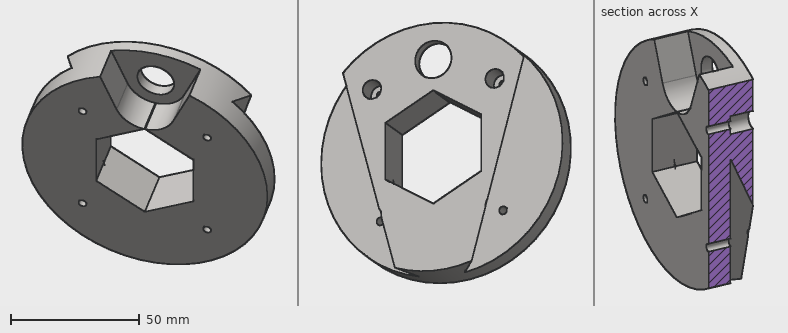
import cadquery as cq
import math

disc_radius = 50.0
thickness = 20.0
plate_thickness = 10.0

taper_angle = math.radians(15)
undercut_angle = math.radians(30)
dovetail_back_half_width = 28.6
tool_reach = 2 * disc_radius

hexagon_across_flats = 39.6

pocket_depth = 15.0
pocket_radius = 12.5
pocket_center_z = 35.3
pocket_flare = math.radians(22.5)
pocket_hole_diameter = 15.0

screw_offset = 25.4
screw_diameter = 3.2
head_diameter = 7.6


def workplane_at(y):
    """XZ sketch plane at depth y; positive extrusion runs toward -Y."""
    return cq.Workplane("XZ", origin=(0, y, 0))


def dovetail_section(workplane, half_width):
    """Trapezoid from the bottom of the disc to above its top, narrowing downward."""
    widening = tool_reach * math.tan(taper_angle)
    top = half_width + widening
    bottom_z = -disc_radius
    bottom = half_width + bottom_z * math.tan(taper_angle)
    return workplane.polyline(
        [(-bottom, bottom_z), (bottom, bottom_z), (top, tool_reach), (-top, tool_reach)]
    ).close()


def make_dovetail():
    depth = thickness - plate_thickness
    inset = depth * math.tan(undercut_angle) / math.cos(taper_angle)
    section = dovetail_section(workplane_at(thickness), dovetail_back_half_width)
    tool = dovetail_section(section.workplane(offset=depth), dovetail_back_half_width - inset).loft(ruled=True)
    cylinder = workplane_at(thickness).circle(disc_radius).extrude(depth)
    return cylinder.intersect(tool)


def make_pocket():
    """Rounded floor with flared straight sides tangent to it."""
    tangent_x = pocket_radius * math.cos(pocket_flare)
    tangent_z = pocket_center_z - pocket_radius * math.sin(pocket_flare)
    top_z = disc_radius + pocket_radius
    top_x = tangent_x + (top_z - tangent_z) * math.tan(pocket_flare)
    return (
        workplane_at(pocket_depth)
        .moveTo(-top_x, top_z)
        .lineTo(-tangent_x, tangent_z)
        .threePointArc((0, pocket_center_z - pocket_radius), (tangent_x, tangent_z))
        .lineTo(top_x, top_z)
        .close()
        .extrude(pocket_depth)
    )


def make_hexagon():
    across_corners = hexagon_across_flats / math.cos(math.radians(30))
    return workplane_at(thickness).transformed(rotate=(0, 0, 90)).polygon(6, across_corners).extrude(thickness)


def make_screw_cuts():
    spacing = 2 * screw_offset
    shanks = workplane_at(thickness).rarray(spacing, spacing, 2, 2).circle(screw_diameter / 2).extrude(thickness)
    heads = (
        workplane_at(thickness)
        .rarray(spacing, spacing, 2, 2)
        .circle(head_diameter / 2)
        .extrude(thickness - plate_thickness)
    )
    return shanks.union(heads)


plate = workplane_at(plate_thickness).circle(disc_radius).extrude(plate_thickness)
pocket_hole = (
    workplane_at(thickness).center(0, pocket_center_z).circle(pocket_hole_diameter / 2).extrude(thickness)
)

result = plate.union(make_dovetail())
for cutter in (make_pocket(), pocket_hole, make_hexagon(), make_screw_cuts()):
    result = result.cut(cutter)